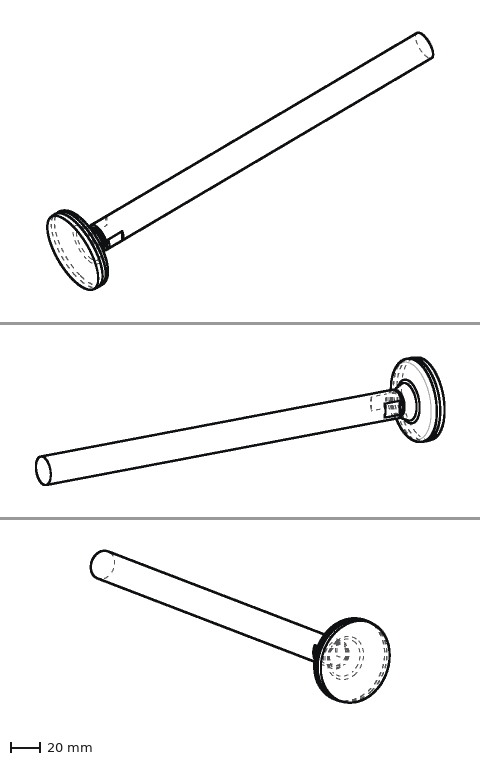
import cadquery as cq

total_length = 302.0
foot_radius = 58.0 / 2
rod_radius = 20.0 / 2

pad_height = 3.5
band_height = 6.3
rim_bulge_height = 8.5
rim_round_height = 9.7
dome_height = 11.8
flare_height = 13.0
hub_height = 20.0

groove_depth = 0.3
dome_top_radius = 15.0
rim_round = 2.0
rim_bulge_inset = 0.5
face_inset = 0.3
flare_radius = 13.0
hub_top_radius = 7.5
hub_bulge_radius = 11.5
hub_bulge_height = 16.5

collar_radius = 8.8
collar_thickness = 0.5
neck_radius = 7.5
rod_start = 22.0
flat_start = 24.0
flat_length = 12.0
across_flats = 17.2


def make_foot():
    """Round foot with a shallow groove, a domed top and a bulging central hub."""
    groove_radius = foot_radius - groove_depth
    profile = (
        cq.Workplane("XY")
        .lineTo(foot_radius - face_inset, 0)
        .lineTo(foot_radius, pad_height)
        .lineTo(groove_radius, pad_height)
        .lineTo(groove_radius, band_height)
        .lineTo(foot_radius, band_height)
        .threePointArc(
            (foot_radius - rim_bulge_inset, rim_bulge_height),
            (foot_radius - rim_round, rim_round_height),
        )
        .lineTo(dome_top_radius, dome_height)
        .lineTo(flare_radius, flare_height)
        .threePointArc((hub_bulge_radius, hub_bulge_height), (hub_top_radius, hub_height))
        .lineTo(0, hub_height)
        .close()
    )
    return profile.revolve(360, (0, 0, 0), (0, 1, 0))


def cut_wrench_flats(spindle):
    """Cut one flat on each X side of the rod, just above its lower end."""
    cutter_depth = rod_radius
    for side in (-1, 1):
        cutter = cq.Workplane("XY").box(cutter_depth, flat_length, 2 * rod_radius)
        cutter = cutter.translate((
            side * (across_flats + cutter_depth) / 2,
            flat_start + flat_length / 2,
            0,
        ))
        spindle = spindle.cut(cutter)
    return spindle


def make_spindle():
    """Long rod with a narrow neck and a thin collar that rests on the hub."""
    collar_top = hub_height + collar_thickness
    profile = (
        cq.Workplane("XY")
        .moveTo(0, hub_height)
        .lineTo(collar_radius, hub_height)
        .lineTo(collar_radius, collar_top)
        .lineTo(neck_radius, collar_top)
        .lineTo(neck_radius, rod_start)
        .lineTo(rod_radius, rod_start)
        .lineTo(rod_radius, total_length)
        .lineTo(0, total_length)
        .close()
    )
    spindle = profile.revolve(360, (0, 0, 0), (0, 1, 0))
    return cut_wrench_flats(spindle)


foot = make_foot()
spindle = make_spindle()
result = cq.Compound.makeCompound([foot.val(), spindle.val()])